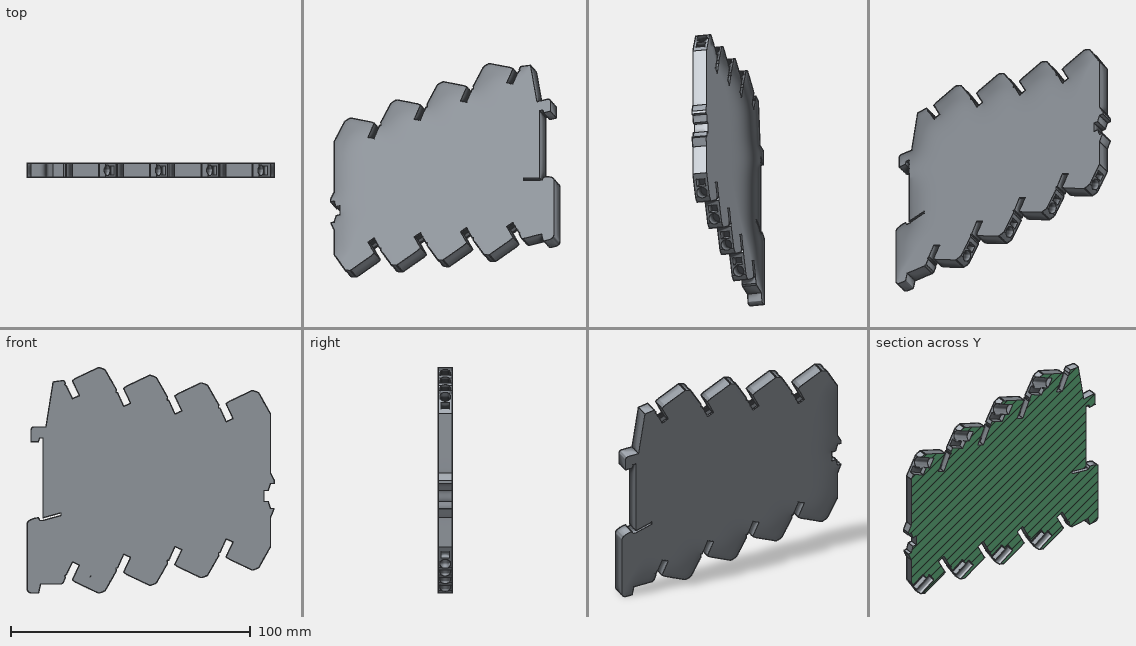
import cadquery as cq
import math

LENGTH = 103.3
THICKNESS = 6.0
HALF_HEIGHT = 47.1
FRONT_X = 101.6
HOOK_RADIUS = 1.3
FOOT_RADIUS = 2.0
FOOT_INNER_RADIUS = 0.6

TOOTH_COUNT = 4
PITCH_X = 21.4
PITCH_Z = -3.2
FIRST_SLOT_X = 19.0
FIRST_SLOT_Z = 34.1
TILT = math.radians(25.4)
SLOT_WIDTH = 3.1
SLOT_RECESS_DEPTH = 1.8
SLOT_LIP = 0.8
TOOTH_HEIGHT = 7.1
CREST_START = 15.3
TIP_CHAMFER_LENGTH = 1.7
TIP_CHAMFER_DROP = 0.3

CREST_FLAT_START = (15.7, 6.9)
CREST_FLAT_END = (16.3, 6.3)
CREST_ARC_MIDDLE = (16.9, 5.7)
CREST_END = (17.5, 4.9)
FLANK_FOOT = (18.2, -4.3)
GROOVE_BOTTOM = (17.6, -5.5)
GROOVE_END = (18.1, -5.8)

SCREW_HOLE_DIAMETER = 4.4
SCREW_HOLE_OFFSET = 1.7
SCREW_HOLE_DEPTH = 8.3
WIRE_POCKET_OFFSET = 5.9
WIRE_POCKET_LENGTH = 3.0
WIRE_POCKET_WIDTH = 3.7
WIRE_POCKET_DEPTH = 6.2

RAIL_X = 6.6
HOOK_X = 1.7
HOOK_TOP_Z = 22.3
HOOK_BOTTOM_Z = 16.0
HOOK_SEAT_Z = 17.6
HOOK_SEAT_X = 5.3
HOOK_LIP_X = 4.8
SHOULDER_TOP = (10.8, 41.1)
SHOULDER_FOOT_X = 7.9
SHOULDER_END = (15.3, 41.7)
NIB_TOP = (16.1, 40.5)
NIB_BOTTOM = (15.8, 40.0)
NIB_END = (16.5, 39.3)
SLIT_MOUTH_TOP_Z = -15.7
SLIT_MOUTH_BOTTOM_Z = -16.7
SLIT_END_X = 14.2
SLIT_RISE = 2.1
NOSE_CORNER_Z = -17.6
NOSE_ARC_MIDDLE = (2.3, -16.1)
NOSE_ARC_END = (3.8, -15.7)
NOSE_END = (4.8, -15.6)
NOSE_FOOT_X = 5.4
FOOT_INNER_X = 4.9
UNDERSIDE_Z = -43.4
UNDERSIDE_START_X = 5.7
UNDERSIDE_END_X = 14.3
UNDERSIDE_BEVEL = (15.1, -42.9)

RECESS_X = 99.0
RECESS_LIP_X = 100.7
RECESS_TOP_Z = -4.3
RECESS_BOTTOM_Z = -8.8
UPPER_BARB_START_Z = 3.1
UPPER_BARB_TIP_Z = -0.1
UPPER_BARB_BOTTOM_Z = -1.3
LOWER_BARB_X = 103.1
LOWER_BARB_TOP_Z = -11.7
LOWER_BARB_TIP_Z = -12.1
LOWER_BARB_END_Z = -15.6
FRONT_EDGE_END_Z = 27.8


def tooth_point(index, along, outward):
    """Point of an upper tooth, from distances along its tilted top and out of its slot."""
    x = FIRST_SLOT_X + index * PITCH_X + along * math.cos(TILT) - outward * math.sin(TILT)
    z = FIRST_SLOT_Z + index * PITCH_Z + along * math.sin(TILT) + outward * math.cos(TILT)
    return x, z


def mirrored(point):
    return point[0], -point[1]


def tooth_segments(index):
    """Outline of one upper tooth as groups of points: one for a line, two for an arc."""
    segments = [
        [tooth_point(index, 0, 0)],
        [tooth_point(index, SLOT_WIDTH, 0)],
        [tooth_point(index, SLOT_WIDTH, TOOTH_HEIGHT - TIP_CHAMFER_DROP)],
        [tooth_point(index, SLOT_WIDTH + TIP_CHAMFER_LENGTH, TOOTH_HEIGHT)],
        [tooth_point(index, CREST_START, TOOTH_HEIGHT)],
        [tooth_point(index, *CREST_FLAT_START)],
        [tooth_point(index, *CREST_FLAT_END)],
        [tooth_point(index, *CREST_ARC_MIDDLE), tooth_point(index, *CREST_END)],
    ]
    if index < TOOTH_COUNT - 1:
        segments += [[tooth_point(index, *p)] for p in (FLANK_FOOT, GROOVE_BOTTOM, GROOVE_END)]
    return segments


def draw(outline, segments):
    for points in segments:
        if len(points) == 1:
            outline = outline.lineTo(*points[0])
        else:
            outline = outline.threePointArc(*points)
    return outline


def mirrored_run(segments):
    """The same run of segments below the mirror plane, drawn in the opposite direction."""
    run = [[mirrored(segments[-1][-1])]]
    for previous, points in reversed(list(zip(segments, segments[1:]))):
        through = [mirrored(p) for p in points[:-1]]
        run.append(through + [mirrored(previous[-1])])
    return run


def plate():
    """The flat plate with its whole outline, centred on Y = 0."""
    upper_teeth = [s for index in range(TOOTH_COUNT) for s in tooth_segments(index)]
    outline = cq.Workplane("XZ", origin=(0, THICKNESS / 2, 0)).moveTo(*SHOULDER_TOP)
    outline = outline.lineTo(*SHOULDER_END).lineTo(*NIB_TOP).lineTo(*NIB_BOTTOM).lineTo(*NIB_END)
    outline = draw(outline, upper_teeth)

    front_edge = [
        (FRONT_X, FRONT_EDGE_END_Z),
        (FRONT_X, UPPER_BARB_START_Z),
        (LENGTH, UPPER_BARB_TIP_Z),
        (LENGTH, UPPER_BARB_BOTTOM_Z),
        (FRONT_X, UPPER_BARB_BOTTOM_Z),
        (RECESS_LIP_X, RECESS_TOP_Z),
        (RECESS_X, RECESS_TOP_Z),
        (RECESS_X, RECESS_BOTTOM_Z),
        (RECESS_LIP_X, RECESS_BOTTOM_Z),
        (FRONT_X, LOWER_BARB_TOP_Z),
        (LOWER_BARB_X, LOWER_BARB_TOP_Z),
        (LOWER_BARB_X, LOWER_BARB_TIP_Z),
        (FRONT_X, LOWER_BARB_END_Z),
        (FRONT_X, -FRONT_EDGE_END_Z),
    ]
    outline = draw(outline, [[p] for p in front_edge])
    outline = draw(outline, mirrored_run(upper_teeth))

    foot_edge = [
        mirrored(NIB_END),
        mirrored(NIB_BOTTOM),
        mirrored(NIB_TOP),
        UNDERSIDE_BEVEL,
        (UNDERSIDE_END_X, UNDERSIDE_Z),
        (UNDERSIDE_START_X, UNDERSIDE_Z),
        (FOOT_INNER_X, -HALF_HEIGHT),
        (0, -HALF_HEIGHT),
        (0, NOSE_CORNER_Z),
    ]
    nose_arc = [NOSE_ARC_MIDDLE, NOSE_ARC_END]
    rear_edge = [
        NOSE_END,
        (NOSE_FOOT_X, SLIT_MOUTH_BOTTOM_Z),
        (RAIL_X, SLIT_MOUTH_BOTTOM_Z),
        (SLIT_END_X, SLIT_MOUTH_BOTTOM_Z + SLIT_RISE),
        (SLIT_END_X, SLIT_MOUTH_TOP_Z + SLIT_RISE),
        (RAIL_X, SLIT_MOUTH_TOP_Z),
        (RAIL_X, HOOK_SEAT_Z),
        (HOOK_SEAT_X, HOOK_SEAT_Z),
        (HOOK_LIP_X, HOOK_BOTTOM_Z),
        (HOOK_X, HOOK_BOTTOM_Z),
        (HOOK_X, HOOK_TOP_Z),
        (SHOULDER_FOOT_X, HOOK_TOP_Z),
    ]
    outline = draw(outline, [[p] for p in foot_edge] + [nose_arc])
    outline = draw(outline, [[p] for p in rear_edge])
    return outline.close().extrude(THICKNESS)


def round_corner(body, x, z, radius):
    """Round the edge that runs through the thickness at the given outline corner."""
    return body.edges("|Y").edges(cq.selectors.NearestToPointSelector((x, 0, z))).fillet(radius)


def flank_workplane(index):
    """Plane on the flank of an upper tooth: origin at the crest end, x down the flank."""
    start = tooth_point(index, *CREST_END)
    end = tooth_point(index, *FLANK_FOOT)
    run = end[0] - start[0]
    drop = end[1] - start[1]
    return cq.Workplane(
        cq.Plane(origin=(start[0], 0, start[1]), xDir=(run, 0, drop), normal=(-drop, 0, run))
    )


def terminal_openings(index):
    """Screw hole and wire pocket sunk square into the flank, reaching out past the crest."""
    flank = flank_workplane(index)
    hole = (
        flank.center(SCREW_HOLE_OFFSET, 0)
        .circle(SCREW_HOLE_DIAMETER / 2)
        .extrude(SCREW_HOLE_DEPTH, both=True)
    )
    pocket = (
        flank.center(WIRE_POCKET_OFFSET, 0)
        .rect(WIRE_POCKET_LENGTH, WIRE_POCKET_WIDTH)
        .extrude(-WIRE_POCKET_DEPTH)
    )
    return hole.union(pocket)


def slot_recess(index):
    """Shallow recess in the slot floor, as wide as the slot, between two thin lips."""
    corners = [
        tooth_point(index, 0, 0),
        tooth_point(index, SLOT_WIDTH, 0),
        tooth_point(index, SLOT_WIDTH, -SLOT_RECESS_DEPTH),
        tooth_point(index, 0, -SLOT_RECESS_DEPTH),
    ]
    return cq.Workplane("XZ").polyline(corners).close().extrude(THICKNESS / 2 - SLOT_LIP, both=True)


body = plate()
body = round_corner(body, HOOK_X, HOOK_TOP_Z, HOOK_RADIUS)
body = round_corner(body, 0, NOSE_CORNER_Z, FOOT_RADIUS)
body = round_corner(body, 0, -HALF_HEIGHT, FOOT_RADIUS)
body = round_corner(body, FOOT_INNER_X, -HALF_HEIGHT, FOOT_INNER_RADIUS)

for tooth in range(TOOTH_COUNT):
    for cutter in (terminal_openings(tooth), slot_recess(tooth)):
        body = body.cut(cutter).cut(cutter.mirror("XY"))

result = body